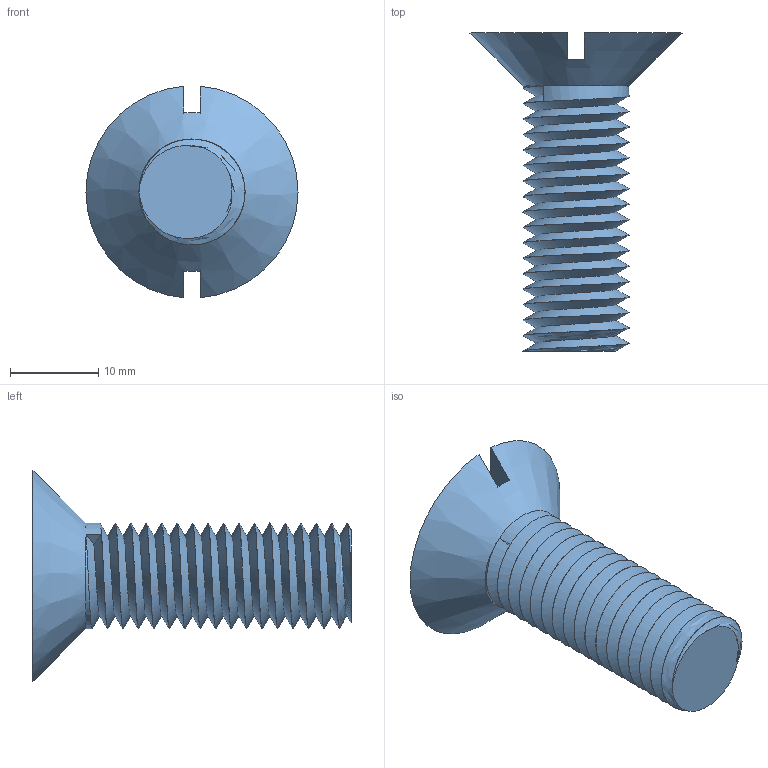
import cadquery as cq
import math

THREAD_DIAMETER = 12.0
THREAD_PITCH = 1.75
THREAD_DEPTH = 1.5
THREAD_ANGLE = 60.0
THREAD_START_ANGLE = 128.0
GROOVE_TURNS = 18
CUTTER_OVERLAP = 0.012
BLANK_SEAM_ANGLE = 90.0

SHANK_LENGTH = 30.0
HEAD_HEIGHT = 6.0
HEAD_DIAMETER = THREAD_DIAMETER + 2 * HEAD_HEIGHT

SLOT_WIDTH = 1.9
SLOT_DEPTH = 3.0

shank_radius = THREAD_DIAMETER / 2
head_radius = HEAD_DIAMETER / 2
root_radius = shank_radius - THREAD_DEPTH


def make_blank():
    """Conical head and plain cylindrical shank as one revolved body."""
    return (
        cq.Workplane("XZ")
        .moveTo(0, -HEAD_HEIGHT)
        .lineTo(head_radius, -HEAD_HEIGHT)
        .lineTo(shank_radius, 0)
        .lineTo(shank_radius, SHANK_LENGTH)
        .lineTo(0, SHANK_LENGTH)
        .close()
        .revolve(360, (0, 0, 0), (0, 1, 0))
    )


def make_slot():
    """Screwdriver slot running right across the head, along Y."""
    return (
        cq.Workplane("XY", origin=(0, 0, -HEAD_HEIGHT))
        .rect(SLOT_WIDTH, HEAD_DIAMETER)
        .extrude(SLOT_DEPTH)
    )


def make_thread_groove():
    """Right-hand V groove that begins abruptly at the shoulder and runs out past the tip."""
    cutter_depth = THREAD_DEPTH + CUTTER_OVERLAP
    half_width = cutter_depth * math.tan(math.radians(THREAD_ANGLE / 2))
    cutter_radius = root_radius + cutter_depth
    first_center = THREAD_PITCH / 2
    helix = cq.Wire.makeHelix(
        THREAD_PITCH, GROOVE_TURNS * THREAD_PITCH, root_radius, cq.Vector(0, 0, first_center)
    )
    return (
        cq.Workplane("XZ")
        .moveTo(root_radius, first_center)
        .lineTo(cutter_radius, first_center + half_width)
        .lineTo(cutter_radius, first_center - half_width)
        .close()
        .sweep(cq.Workplane(obj=helix), isFrenet=True)
    )


blank = make_blank().rotate((0, 0, 0), (0, 0, 1), BLANK_SEAM_ANGLE)
threaded_body = blank.cut(make_thread_groove())
screw = threaded_body.rotate((0, 0, 0), (0, 0, 1), THREAD_START_ANGLE).cut(make_slot())

result = screw.rotate((0, 0, 0), (1, 0, 0), 90)